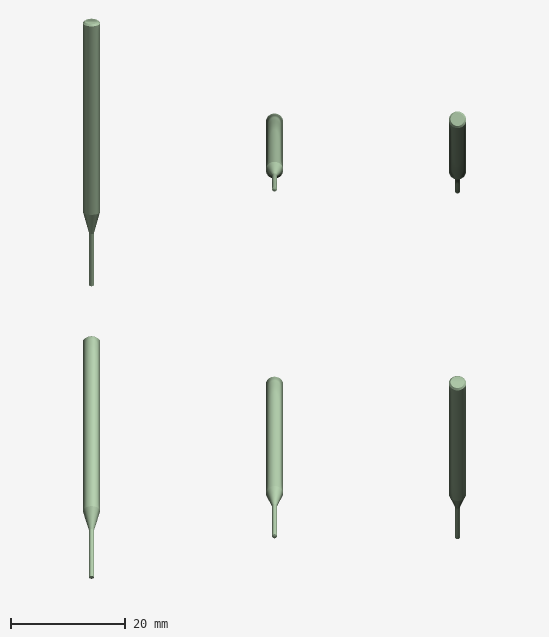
import cadquery as cq
import math

total_length = 50.15
shank_diameter = 3.0
shank_start = 14.15
shank_chamfer = 0.3
neck_diameter = 0.85
neck_top = 10.05
cutter_length = 4.3
point_angle = 140.0

shank_radius = shank_diameter / 2
neck_radius = neck_diameter / 2
cutter_radius = neck_radius
point_height = cutter_radius / math.tan(math.radians(point_angle / 2))


def revolve_profile(points):
    """Turn a closed (radius, height) outline about the Z axis."""
    return cq.Workplane("XZ").polyline(points).close().revolve(360, (0, 0), (0, 1))


def make_holder():
    """Chamfered shank, cone and slender neck, ending on top of the cutter."""
    return revolve_profile([
        (0, cutter_length),
        (neck_radius, cutter_length),
        (neck_radius, neck_top),
        (shank_radius, shank_start),
        (shank_radius, total_length - shank_chamfer),
        (shank_radius - shank_chamfer, total_length),
        (0, total_length),
    ])


def make_cutter():
    """Cylindrical cutting end with a conical drill point."""
    return revolve_profile([
        (0, 0),
        (cutter_radius, point_height),
        (cutter_radius, cutter_length),
        (0, cutter_length),
    ])


holder = make_holder()
cutter = make_cutter()

result = cq.Compound.makeCompound([holder.val(), cutter.val()])